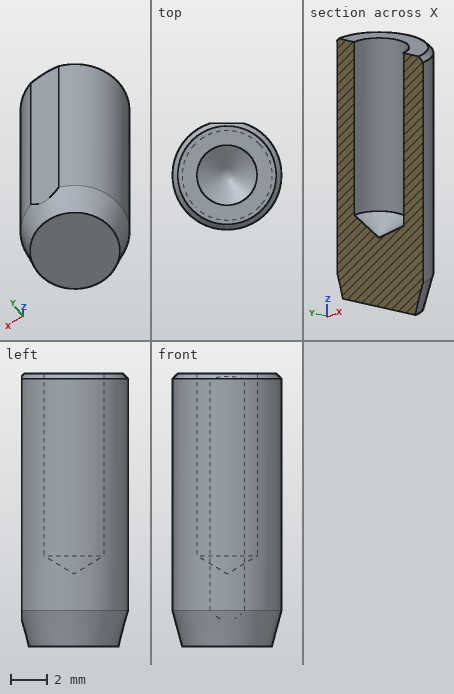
import cadquery as cq
import math

length = 15.0
diameter = 6.0
radius = diameter / 2
flat_distance = 2.85

chamfer_size = 0.3

taper_height = 2.0
taper_angle = 15.0
tip_radius = radius - taper_height * math.tan(math.radians(taper_angle))

hole_diameter = 3.3
hole_depth = 10.0
drill_point_angle = 118.0
hole_radius = hole_diameter / 2
drill_point_depth = hole_radius / math.tan(math.radians(drill_point_angle / 2))


def pin_body():
    """Round pin: tapered tip, cylinder and chamfered top, revolved about Z."""
    profile = (
        cq.Workplane("XZ")
        .moveTo(0, 0)
        .lineTo(tip_radius, 0)
        .lineTo(radius, taper_height)
        .lineTo(radius, length - chamfer_size)
        .lineTo(radius - chamfer_size, length)
        .lineTo(0, length)
        .close()
    )
    return profile.revolve(360, (0, 0, 0), (0, 1, 0))


def blind_hole():
    """Drilled hole from the top face, ending in a cone."""
    hole_floor = length - hole_depth
    profile = (
        cq.Workplane("XZ")
        .moveTo(0, length)
        .lineTo(hole_radius, length)
        .lineTo(hole_radius, hole_floor)
        .lineTo(0, hole_floor - drill_point_depth)
        .close()
    )
    return profile.revolve(360, (0, 0, 0), (0, 1, 0))


def flat_cut():
    """Block that removes the pin's +Y side beyond the flat."""
    return (
        cq.Workplane("XY")
        .box(diameter, radius, length, centered=(True, False, False))
        .translate((0, flat_distance, 0))
    )


result = pin_body().cut(blind_hole()).cut(flat_cut())